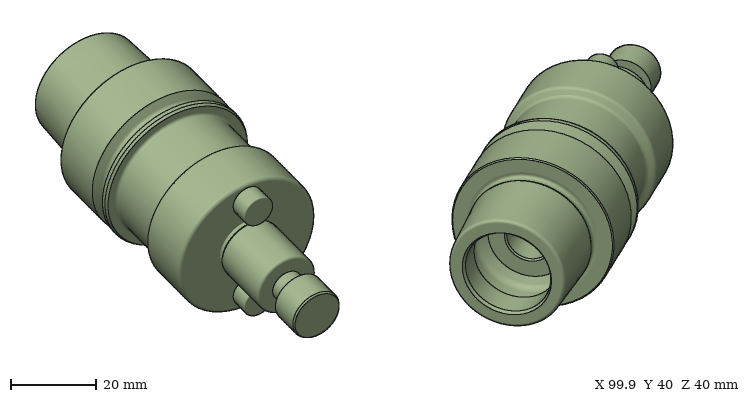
import cadquery as cq
import math

shank_length = 20.0
flange_width = 20.0
groove_offset = 16.0
collar_length = 13.9
collar_face_x = 69.9
spigot_length = 17.0

flange_face_x = shank_length
flange_back_x = flange_face_x + flange_width
groove_x = flange_face_x + groove_offset
collar_back_x = collar_face_x - collar_length
spigot_end_x = collar_face_x + spigot_length

flange_radius = 20.0
body_radius = 17.0
collar_radius = 19.1
spigot_radius = 8.0

taper_ratio = 0.05
taper_tip_radius = 14.3
taper_length = 17.8
taper_end_radius = taper_tip_radius + taper_ratio * taper_length
shank_tip_round = 0.8
relief_radius = 14.8
relief_start_x = 18.6
relief_round = 0.7
face_recess_radius = 16.2
face_recess_depth = 0.1
recess_floor_radius = 15.6
recess_floor_x = flange_face_x + face_recess_depth

flank_tilt = math.radians(30)
groove_floor_radius = 17.5
groove_half_width = 2.2
groove_floor_half_width = groove_half_width - (flange_radius - groove_floor_radius) * math.tan(flank_tilt)
groove_floor_round = 0.9
flange_front_chamfer = 0.3
flange_back_chamfer_length = 0.7
flange_back_chamfer_depth = 0.4
flange_foot_round = 0.8

collar_flank_length = (collar_radius - body_radius) * math.tan(flank_tilt)
collar_flank_round = 1.0
collar_front_round = 1.0

neck_radius = 7.6
neck_length = 1.2
neck_end_x = collar_face_x + neck_length
lip_radius = 7.9
lip_length = 0.5
neck_round = 0.2
spigot_end_round = 0.7

bore_radius = 10.5
bore_chamfer = 0.5
bore_chamfer_length = 0.9
bore_length = 7.6
clamp_radius = 12.8
cavity_depth = 16.8
cavity_floor_radius = 10.0
cavity_cone_length = (clamp_radius - cavity_floor_radius) * math.tan(flank_tilt)
cavity_cone_x = cavity_depth - cavity_cone_length
cavity_corner_round = 2.0
socket_radius = 5.5
socket_chamfer = 0.4
socket_length = 9.0
coolant_radius = 2.7
coolant_length = 10.0

pin_radius = 4.0
pin_length = 4.9
pin_offset = 14.0
pin_end_round = 0.3

screw_radius = 4.0
screw_gap = 5.0
head_radius = 6.5
head_length = 8.0
head_chamfer_length = 0.5
head_chamfer_depth = 0.3
head_fillet = 0.4


def revolve_about_x(points):
    """Solid of revolution about X from (x, radius) points."""
    return cq.Workplane("XY").polyline(points).close().revolve(360, (0, 0, 0), (1, 0, 0))


def rim(body, x, radius):
    """The circular edge of a turned body at the given station and radius."""
    tolerance = 0.01

    def is_rim(edge):
        at_station = abs(edge.Center().x - x) < tolerance
        return edge.geomType() == "CIRCLE" and at_station and abs(edge.radius() - radius) < tolerance

    return body.newObject([edge for edge in body.edges().vals() if is_rim(edge)])


def make_arbor_blank():
    return revolve_about_x([
        (0, 0),
        (0, taper_tip_radius),
        (taper_length, taper_end_radius),
        (relief_start_x, relief_radius),
        (recess_floor_x, relief_radius),
        (recess_floor_x, recess_floor_radius),
        (flange_face_x, face_recess_radius),
        (flange_face_x, flange_radius),
        (groove_x - groove_half_width, flange_radius),
        (groove_x - groove_floor_half_width, groove_floor_radius),
        (groove_x + groove_floor_half_width, groove_floor_radius),
        (groove_x + groove_half_width, flange_radius),
        (flange_back_x - flange_back_chamfer_length, flange_radius),
        (flange_back_x, flange_radius - flange_back_chamfer_depth),
        (flange_back_x, body_radius),
        (collar_back_x - collar_flank_length, body_radius),
        (collar_back_x, collar_radius),
        (collar_face_x, collar_radius),
        (collar_face_x, neck_radius),
        (neck_end_x, neck_radius),
        (neck_end_x, lip_radius),
        (neck_end_x + lip_length, spigot_radius),
        (spigot_end_x, spigot_radius),
        (spigot_end_x, 0),
    ])


def round_arbor_edges(arbor):
    rounds = [
        (0, taper_tip_radius, shank_tip_round),
        (recess_floor_x, relief_radius, relief_round),
        (groove_x - groove_floor_half_width, groove_floor_radius, groove_floor_round),
        (groove_x + groove_floor_half_width, groove_floor_radius, groove_floor_round),
        (flange_back_x, body_radius, flange_foot_round),
        (collar_back_x - collar_flank_length, body_radius, collar_flank_round),
        (collar_back_x, collar_radius, collar_flank_round),
        (collar_face_x, collar_radius, collar_front_round),
        (collar_face_x, neck_radius, neck_round),
        (neck_end_x, neck_radius, neck_round),
        (spigot_end_x, spigot_radius, spigot_end_round),
    ]
    for x, radius, size in rounds:
        arbor = rim(arbor, x, radius).fillet(size)
    return rim(arbor, flange_face_x, flange_radius).chamfer(flange_front_chamfer)


def make_shank_cavity():
    socket_end_x = cavity_depth + socket_length
    coolant_end_x = socket_end_x + coolant_length
    cavity = revolve_about_x([
        (0, 0),
        (0, bore_radius + bore_chamfer),
        (bore_chamfer_length, bore_radius),
        (bore_length, bore_radius),
        (bore_length, clamp_radius),
        (cavity_cone_x, clamp_radius),
        (cavity_depth, cavity_floor_radius),
        (cavity_depth, socket_radius + socket_chamfer),
        (cavity_depth + socket_chamfer, socket_radius),
        (socket_end_x, socket_radius),
        (socket_end_x, coolant_radius),
        (coolant_end_x, coolant_radius),
        (coolant_end_x, 0),
    ])
    return rim(cavity, cavity_cone_x, clamp_radius).fillet(cavity_corner_round)


def make_arbor():
    return round_arbor_edges(make_arbor_blank()).cut(make_shank_cavity())


def make_drive_pin(z):
    """Pin standing on the collar face, with a rounded free end."""
    face = cq.Workplane("YZ", origin=(collar_face_x, 0, z))
    return face.circle(pin_radius).extrude(pin_length).faces(">X").edges().fillet(pin_end_round)


def make_screw():
    """Cap screw standing on the end of the spigot."""
    head_x = spigot_end_x + screw_gap
    head_end_x = head_x + head_length
    screw = revolve_about_x([
        (spigot_end_x, 0),
        (spigot_end_x, screw_radius),
        (head_x, screw_radius),
        (head_x, head_radius),
        (head_end_x - head_chamfer_length, head_radius),
        (head_end_x, head_radius - head_chamfer_depth),
        (head_end_x, 0),
    ])
    return rim(screw, head_x, screw_radius).fillet(head_fillet)


arbor = make_arbor()
drive_pins = [make_drive_pin(side * pin_offset) for side in (-1, 1)]
screw = make_screw()

result = cq.Compound.makeCompound([arbor.val(), *[pin.val() for pin in drive_pins], screw.val()])